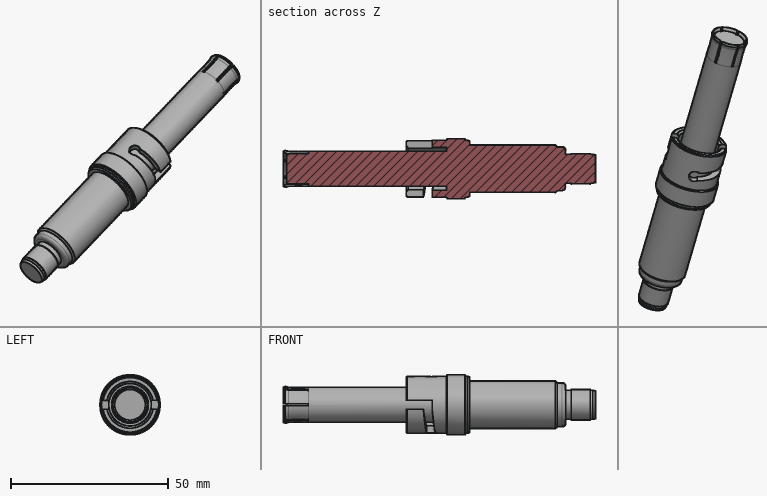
import cadquery as cq
import math


tube_radius = 11.2 / 2
lip_radius = 11.7 / 2
lip_crest = 0.7
lip_back = 1.6
finger_end = 7.9
finger_waist_depth = 0.1
mouth_radius = 5.5
mouth_floor_radius = 4.9
mouth_depth = 1.0
finger_count = 6
finger_gap = 0.6

sleeve_start = 39.0
sleeve_radius = 18.2 / 2
sleeve_chamfer = 0.4
bore_radius = 6.7
bore_mouth_chamfer = 0.7

collar_start = 51.8
collar_end = 58.0
collar_radius = 19.2 / 2
collar_chamfer_length = 0.3
shoulder_end = 59.3
shoulder_radius = sleeve_radius
shoulder_chamfer_length = 0.6
shoulder_chamfer_depth = 0.3

body_radius = 15.2 / 2
body_end = 87.0
nose_radius = 14.0 / 2
nose_end = 89.7
nose_fillet = 1.2
body_chamfer = body_radius - nose_radius

neck_radius = 4.7
tail_ring_radius = 4.9
tail_ring_start = 91.5
tail_ring_end = 97.6
total_length = 99.25
tail_chamfer_length = 0.9
tail_chamfer_depth = 0.3

entry_width = 2.8
track_width = entry_width
track_start = 45.9
track_rise = 1.2
seat_angle = 87.0
seat_radius = 1.8
slot_angles = (0, 180)

clearance = 0.4
cutter_inner_radius = bore_radius - clearance
cutter_outer_radius = sleeve_radius + clearance
cutter_height = cutter_outer_radius - cutter_inner_radius
cutter_middle_radius = (cutter_outer_radius + cutter_inner_radius) / 2


def turned_body():
    """Revolve the half outline, from the mouth floor around to the tail end."""
    finger_middle = (lip_back + finger_end) / 2
    outline = (
        cq.Workplane("XY")
        .moveTo(mouth_depth, 0)
        .lineTo(mouth_depth, mouth_floor_radius)
        .lineTo(0, mouth_radius)
        .lineTo(0, tube_radius)
        .lineTo(lip_crest, lip_radius)
        .lineTo(lip_back, tube_radius)
        .threePointArc((finger_middle, tube_radius - finger_waist_depth), (finger_end, tube_radius))
        .lineTo(collar_start, tube_radius)
        .lineTo(collar_start, bore_radius)
        .lineTo(sleeve_start + bore_mouth_chamfer, bore_radius)
        .lineTo(sleeve_start, bore_radius + bore_mouth_chamfer)
        .lineTo(sleeve_start, sleeve_radius - sleeve_chamfer)
        .lineTo(sleeve_start + sleeve_chamfer, sleeve_radius)
        .lineTo(collar_start, sleeve_radius)
        .lineTo(collar_start + collar_chamfer_length, collar_radius)
        .lineTo(collar_end - collar_chamfer_length, collar_radius)
        .lineTo(collar_end, shoulder_radius)
        .lineTo(shoulder_end - shoulder_chamfer_length, shoulder_radius)
        .lineTo(shoulder_end, shoulder_radius - shoulder_chamfer_depth)
        .lineTo(shoulder_end, body_radius)
        .lineTo(body_end - body_chamfer, body_radius)
        .lineTo(body_end, nose_radius)
        .lineTo(nose_end - nose_fillet, nose_radius)
        .tangentArcPoint((nose_end, nose_radius - nose_fillet), relative=False)
        .lineTo(nose_end, neck_radius)
        .lineTo(tail_ring_start, neck_radius)
        .lineTo(tail_ring_start, tail_ring_radius)
        .lineTo(tail_ring_end, tail_ring_radius)
        .lineTo(tail_ring_end, neck_radius)
        .lineTo(total_length - tail_chamfer_length, neck_radius)
        .lineTo(total_length, neck_radius - tail_chamfer_depth)
        .lineTo(total_length, 0)
        .close()
    )
    return outline.revolve(360, (0, 0, 0), (1, 0, 0))


def turn_about_axis(shape, angle):
    return shape.rotate((0, 0, 0), (1, 0, 0), angle)


def finger_gap_cutter():
    """Slit at +Y that opens the tip down to the mouth floor radius."""
    slit_height = lip_radius + clearance - mouth_floor_radius
    return cq.Workplane("XY").box(
        finger_end, slit_height, finger_gap, centered=(False, False, True)
    ).translate((0, mouth_floor_radius, 0))


def bayonet_cutter():
    """Slot entering along +Y, then turning toward +Z while moving along +X."""
    entry_length = track_start + track_width / 2 - sleeve_start
    entry = cq.Workplane("XY").box(
        entry_length, cutter_height, entry_width, centered=(False, False, True)
    ).translate((sleeve_start, cutter_inner_radius, 0))

    first_angle = math.degrees(math.asin(entry_width / 2 / cutter_outer_radius))
    track_angle = seat_angle - first_angle
    pitch = track_rise * 360 / track_angle
    helix = cq.Wire.makeHelix(
        pitch, track_rise, cutter_middle_radius, cq.Vector(track_start, 0, 0), cq.Vector(1, 0, 0)
    )
    start = helix.startPoint()
    across_track = cq.Plane(start, xDir=(1, 0, 0), normal=(0, start.z, -start.y))
    track = (
        cq.Workplane(across_track)
        .rect(track_width, cutter_height)
        .sweep(cq.Workplane(obj=helix), isFrenet=True)
    )
    start_angle = math.degrees(math.atan2(start.z, start.y))
    track = turn_about_axis(track, first_angle - start_angle)

    seat = (
        cq.Workplane("XZ", origin=(track_start + track_rise, cutter_inner_radius, 0))
        .circle(seat_radius)
        .extrude(-cutter_height)
    )
    return entry.union(track).union(turn_about_axis(seat, seat_angle))


result = turned_body()
for index in range(finger_count):
    result = result.cut(turn_about_axis(finger_gap_cutter(), index * 360 / finger_count))
for slot_angle in slot_angles:
    result = result.cut(turn_about_axis(bayonet_cutter(), slot_angle))